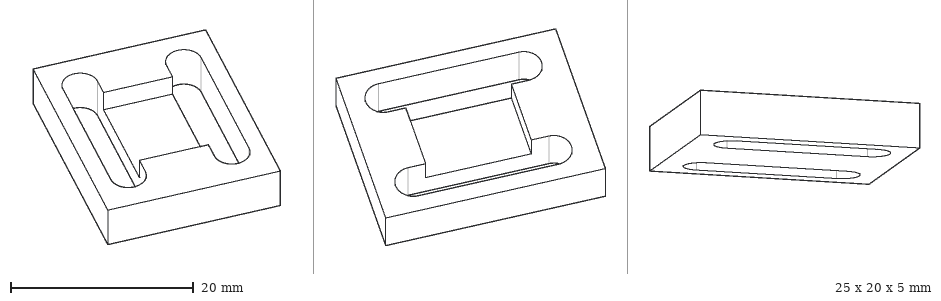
import cadquery as cq

length = 25.0
width = 20.0
thickness = 5.0

opening_center_x = -0.25

slot_length = 20.0
slot_width = 4.0
slot_spacing = 12.0

recess_length = 12.0
recess_depth = 2.5
recess_width = slot_spacing


def make_plate():
    return cq.Workplane("XY").box(length, width, thickness, centered=(True, True, False))


def cut_slots(body):
    slot_centers = [(opening_center_x, side * slot_spacing / 2) for side in (-1, 1)]
    return (
        body.faces(">Z")
        .workplane(origin=(0, 0, thickness))
        .pushPoints(slot_centers)
        .slot2D(slot_length, slot_width)
        .cutThruAll()
    )


def cut_recess(body):
    recess = (
        cq.Workplane("XY", origin=(opening_center_x, 0, thickness - recess_depth))
        .box(recess_length, recess_width, recess_depth, centered=(True, True, False))
    )
    return body.cut(recess)


result = cut_recess(cut_slots(make_plate()))